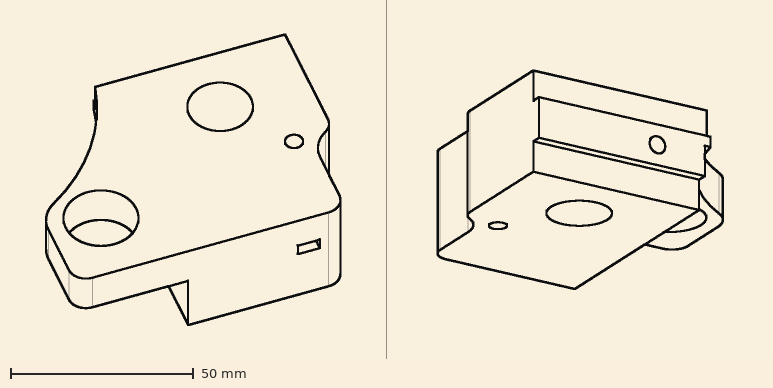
import cadquery as cq
import math

width = 69.0
length = 86.0
height = 30.0

plate_thickness = 12.0
plate_bottom = height - plate_thickness
block_front = 33.0

corner_radius = 5.0
blend_radius = 2 * corner_radius
sweep_radius = 58.8
sweep_blend_angle = math.radians(57.7)
foot_start = 48.0
shoulder_drop = 7.0
shoulder_start = 36.5

rail_depth = 3.0
rail_height = 12.0

rear_bore_center = (21.9, 59.9)
rear_bore_diameter = 18.0
front_bore_center = (49.1, 15.0)
front_bore_diameter = 20.55
pin_center = (41.0, 74.4)
pin_diameter = 5.0
side_hole_diameter = 5.0
side_hole_y = 48.2
side_hole_depth = 10.0
drill_tip_angle = math.radians(118)

slot_front = 65.0
slot_width = 6.45
slot_floor = 16.5
slot_height = 3.4


def point_on_circle(center, radius, angle):
    return (center[0] + radius * math.cos(angle), center[1] + radius * math.sin(angle))


def plate_outline():
    """Plan outline: a concave sweep at the front and an S-shaped shoulder at the rear."""
    foot_center = (foot_start, blend_radius)
    blend_direction = -math.pi / 2 - sweep_blend_angle
    sweep_center = point_on_circle(foot_center, sweep_radius + blend_radius, blend_direction)
    sweep_end_angle = math.pi / 2 - sweep_blend_angle
    sweep_start_angle = math.acos(-sweep_center[0] / sweep_radius)
    sweep_mid_angle = (sweep_start_angle + sweep_end_angle) / 2
    sweep_start = point_on_circle(sweep_center, sweep_radius, sweep_start_angle)
    sweep_mid = point_on_circle(sweep_center, sweep_radius, sweep_mid_angle)
    sweep_end = point_on_circle(sweep_center, sweep_radius, sweep_end_angle)
    foot_mid = point_on_circle(foot_center, blend_radius, -math.pi / 2 - sweep_blend_angle / 2)

    shoulder_y = length - shoulder_drop
    radius_sum = corner_radius + blend_radius
    shoulder_angle = math.acos(1 - shoulder_drop / radius_sum)
    shoulder_end = shoulder_start + radius_sum * math.sin(shoulder_angle)
    upper_center = (shoulder_start, length - corner_radius)
    lower_center = (shoulder_end, shoulder_y + blend_radius)
    inflection = point_on_circle(upper_center, corner_radius, math.pi / 2 - shoulder_angle)
    upper_mid = point_on_circle(upper_center, corner_radius, math.pi / 2 - shoulder_angle / 2)
    lower_mid = point_on_circle(lower_center, blend_radius, -math.pi / 2 - shoulder_angle / 2)

    return (
        cq.Workplane("XY")
        .moveTo(0, length)
        .lineTo(*sweep_start)
        .threePointArc(sweep_mid, sweep_end)
        .threePointArc(foot_mid, (foot_start, 0))
        .lineTo(width - corner_radius, 0)
        .radiusArc((width, corner_radius), -corner_radius)
        .lineTo(width, shoulder_y - corner_radius)
        .radiusArc((width - corner_radius, shoulder_y), -corner_radius)
        .lineTo(shoulder_end, shoulder_y)
        .threePointArc(lower_mid, inflection)
        .threePointArc(upper_mid, (shoulder_start, length))
        .close()
    )


def body():
    """Full-height outline with the front part relieved below the plate."""
    relief = cq.Workplane("XY").box(width, block_front, plate_bottom, centered=False)
    return plate_outline().extrude(height).cut(relief)


def rail_relief():
    """Steps above and below the guide rail."""
    step_height = (height - rail_height) / 2
    step = cq.Workplane("XY").box(rail_depth, length, step_height, centered=False)
    return step.union(step.translate((0, 0, height - step_height)))


def vertical_hole(center, diameter):
    return cq.Workplane("XY").center(*center).circle(diameter / 2).extrude(height)


def side_hole():
    """Blind drilled hole in the rail, ending in a conical tip."""
    radius = side_hole_diameter / 2
    tip_length = radius / math.tan(drill_tip_angle / 2)
    profile = (
        cq.Workplane("XY")
        .polyline([(0, 0), (0, radius), (side_hole_depth, radius), (side_hole_depth + tip_length, 0)])
        .close()
    )
    drill = profile.revolve(360, (0, 0, 0), (1, 0, 0))
    return drill.translate((0, side_hole_y, height / 2))


def side_slot():
    """Horizontal slot that breaks into the rear bore and opens on the right side."""
    start = rear_bore_center[0]
    slot = cq.Workplane("XY").box(width - start, slot_width, slot_height, centered=False)
    return slot.translate((start, slot_front, slot_floor))


result = body().cut(rail_relief())
for center, diameter in (
    (rear_bore_center, rear_bore_diameter),
    (front_bore_center, front_bore_diameter),
    (pin_center, pin_diameter),
):
    result = result.cut(vertical_hole(center, diameter))
result = result.cut(side_hole()).cut(side_slot())